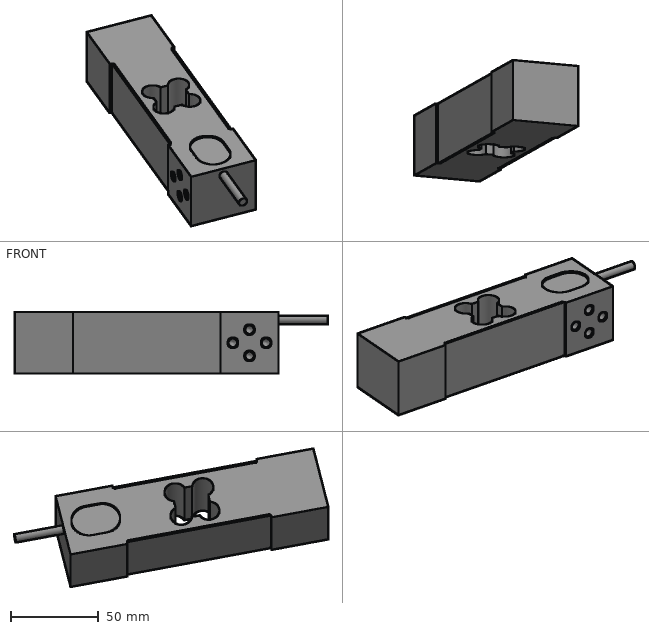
import cadquery as cq

OVERALL_LENGTH = 178.0

BEAM_LENGTH = 150.0
BEAM_WIDTH = 40.0
BEAM_HEIGHT = 35.0
BEAM_CENTER_X = BEAM_LENGTH / 2

RECESS_LENGTH = 84.0
RECESS_DEPTH = 2.3
RECESS_CORNER_CHAMFER = 0.98
PAD_THICKNESS = 1.0

LOBE_RADIUS = 6.0
LOBE_SPACING = 16.0
OPENING_CORE_SIZE = 20.0

POCKET_CENTER_X = 131.0
POCKET_LENGTH = 28.0
POCKET_WIDTH = 20.0
POCKET_DEPTH = 1.0

HOLE_CENTER_X = 133.5
HOLE_OFFSET_X = 9.5
HOLE_OFFSET_Z = 7.5
HOLE_DIAMETER = 5.0
HOLE_DEPTH = 14.2
COUNTERSINK_DIAMETER = 6.0
COUNTERSINK_DEPTH = (COUNTERSINK_DIAMETER - HOLE_DIAMETER) / 2
DRILL_TIP_LENGTH = 1.5

CABLE_DIAMETER = 5.0
CABLE_LENGTH = OVERALL_LENGTH - BEAM_LENGTH
CABLE_DROP = 4.6

FRONT_SIDE = -1
BACK_SIDE = 1


def recess_slab(side, thickness):
    """Slab against a recess floor, with its two floor corners chamfered."""
    floor_y = side * (BEAM_WIDTH / 2 - RECESS_DEPTH)
    slab = cq.Workplane("XY").box(RECESS_LENGTH, thickness, BEAM_HEIGHT, centered=(True, True, False))
    floor_corners = "|Z and <Y" if side == BACK_SIDE else "|Z and >Y"
    slab = slab.edges(floor_corners).chamfer(RECESS_CORNER_CHAMFER)
    return slab.translate((BEAM_CENTER_X, floor_y + side * thickness / 2, 0))


def flexure_opening():
    """Square core with a round lobe at each corner, through the full height."""
    core = cq.Workplane("XY").rect(OPENING_CORE_SIZE, OPENING_CORE_SIZE).extrude(BEAM_HEIGHT)
    lobes = (
        cq.Workplane("XY")
        .rect(LOBE_SPACING, LOBE_SPACING, forConstruction=True)
        .vertices()
        .circle(LOBE_RADIUS)
        .extrude(BEAM_HEIGHT)
    )
    return core.union(lobes).translate((BEAM_CENTER_X, 0, 0))


def oval_pocket():
    return (
        cq.Workplane("XY", origin=(POCKET_CENTER_X, 0, BEAM_HEIGHT - POCKET_DEPTH))
        .slot2D(POCKET_LENGTH, POCKET_WIDTH)
        .extrude(POCKET_DEPTH)
    )


def mounting_hole():
    """Countersunk blind hole with a conical drill tip, opening at the front face."""
    hole_radius = HOLE_DIAMETER / 2
    sink_radius = COUNTERSINK_DIAMETER / 2
    return (
        cq.Workplane("XY")
        .moveTo(0, 0)
        .lineTo(sink_radius, 0)
        .lineTo(hole_radius, COUNTERSINK_DEPTH)
        .lineTo(hole_radius, HOLE_DEPTH)
        .lineTo(0, HOLE_DEPTH + DRILL_TIP_LENGTH)
        .close()
        .revolve(360, (0, 0), (0, 1))
    )


def make_beam():
    beam = cq.Workplane("XY").box(BEAM_LENGTH, BEAM_WIDTH, BEAM_HEIGHT, centered=(False, True, False))
    for side in (FRONT_SIDE, BACK_SIDE):
        beam = beam.cut(recess_slab(side, RECESS_DEPTH))
    beam = beam.cut(flexure_opening()).cut(oval_pocket())
    hole_offsets = [(-HOLE_OFFSET_X, 0), (HOLE_OFFSET_X, 0), (0, -HOLE_OFFSET_Z), (0, HOLE_OFFSET_Z)]
    for dx, dz in hole_offsets:
        position = (HOLE_CENTER_X + dx, -BEAM_WIDTH / 2, BEAM_HEIGHT / 2 + dz)
        beam = beam.cut(mounting_hole().translate(position))
    return beam


def make_side_pad(side):
    """Thin pad covering a recess floor, below the outer side face."""
    return recess_slab(side, PAD_THICKNESS)


def make_cable():
    """Round cable leaving the end face of the beam."""
    return (
        cq.Workplane("YZ", origin=(BEAM_LENGTH, 0, BEAM_HEIGHT - CABLE_DROP))
        .circle(CABLE_DIAMETER / 2)
        .extrude(CABLE_LENGTH)
    )


beam = make_beam()
side_pads = [make_side_pad(side) for side in (FRONT_SIDE, BACK_SIDE)]
cable = make_cable()

result = cq.Compound.makeCompound([beam.val(), *[pad.val() for pad in side_pads], cable.val()])